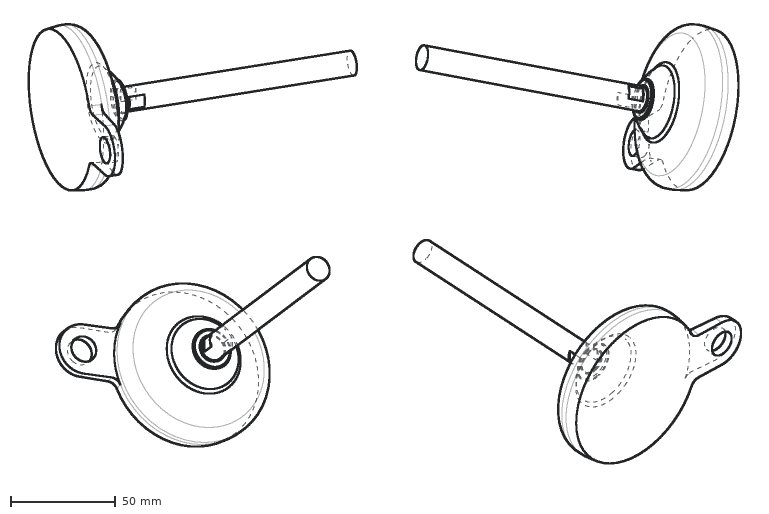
import cadquery as cq
import math

total_length = 151.5

floor_radius = 39.1
rim_radius = 40.0
rim_start = 6.2
rim_end = 9.2
shoulder_radius = 34.7
shoulder_height = 15.9
neck_radius = 19.5
neck_height = 21.7
seat_radius = 17.7
seat_height = 23.2

lug_radius = 12.5
lug_reach = 68.0
lug_hole_radius = 6.4
lug_root_x = 30.3
lug_root_fillet = 5.0
lug_slope_start_x = 41.4
lug_slope_start_height = 5.8
lug_tip_height = 4.1
lug_hole_x = lug_reach - lug_radius

dome_top_radius = 9.8
dome_top_height = 30.1
flange_radius = 10.0
flange_widest_height = 30.9
flange_top_radius = 9.2
flange_top_height = 31.4
collar_radius = 6.7
collar_top_height = 31.8
rod_radius = 6.0
flat_start = 33.6
flat_end = 41.5
flat_half_width = 5.2


def sphere_center_height(radius_a, height_a, radius_b, height_b):
    """Height of the on-axis center of the sphere through two circles about the axis."""
    difference = radius_a**2 + height_a**2 - radius_b**2 - height_b**2
    return difference / (2 * (height_a - height_b))


def make_lug():
    """Rounded tab whose upper face slopes down towards its tip."""
    slope = (lug_tip_height - lug_slope_start_height) / (lug_reach - lug_slope_start_x)
    root_height = lug_slope_start_height + slope * (lug_root_x - lug_slope_start_x)
    side = (
        cq.Workplane("XY")
        .workplane(offset=-lug_radius)
        .moveTo(lug_root_x, 0)
        .lineTo(lug_reach, 0)
        .lineTo(lug_reach, lug_tip_height)
        .lineTo(lug_root_x, root_height)
        .close()
        .extrude(2 * lug_radius)
    )
    outline = (
        cq.Workplane("XZ")
        .moveTo(lug_root_x, -lug_radius)
        .lineTo(lug_hole_x, -lug_radius)
        .threePointArc((lug_reach, 0), (lug_hole_x, lug_radius))
        .lineTo(lug_root_x, lug_radius)
        .close()
        .extrude(-rim_start)
    )
    return side.intersect(outline)


def make_foot():
    """Round foot with the lug blended into its drafted lower edge."""
    drop = shoulder_height - rim_end
    inset = rim_radius - shoulder_radius
    chord_angle = math.atan2(drop, inset)
    shoulder_arc_radius = math.hypot(drop, inset) / (2 * math.cos(chord_angle))
    arc_half_angle = math.pi / 2 - chord_angle
    arc_mid = (
        rim_radius - shoulder_arc_radius * (1 - math.cos(arc_half_angle)),
        rim_end + shoulder_arc_radius * math.sin(arc_half_angle),
    )
    disk = (
        cq.Workplane("XY")
        .lineTo(floor_radius, 0)
        .lineTo(rim_radius, rim_start)
        .lineTo(rim_radius, rim_end)
        .threePointArc(arc_mid, (shoulder_radius, shoulder_height))
        .lineTo(neck_radius, neck_height)
        .lineTo(seat_radius, seat_height)
        .lineTo(0, seat_height)
        .close()
        .revolve(360, (0, 0, 0), (0, 1, 0))
    )
    foot = disk.union(make_lug())

    root_x = math.sqrt(floor_radius**2 - lug_radius**2)
    for side in (-1, 1):
        corner = (root_x, lug_slope_start_height / 2, side * lug_radius)
        foot = foot.edges(cq.selectors.NearestToPointSelector(corner)).fillet(lug_root_fillet)

    lug_hole = cq.Workplane("XZ").center(lug_hole_x, 0).circle(lug_hole_radius).extrude(-rim_start)
    return foot.cut(lug_hole)


def make_stud():
    """Plain rod on a spherical dome, with a thin flange, a collar and two wrench flats."""
    center = sphere_center_height(seat_radius, seat_height, dome_top_radius, dome_top_height)
    dome_radius = math.hypot(seat_radius, seat_height - center)
    mid_radius = (seat_radius + dome_top_radius) / 2
    mid_height = center + math.sqrt(dome_radius**2 - mid_radius**2)
    stud = (
        cq.Workplane("XY")
        .moveTo(0, seat_height)
        .lineTo(seat_radius, seat_height)
        .threePointArc((mid_radius, mid_height), (dome_top_radius, dome_top_height))
        .lineTo(flange_radius, flange_widest_height)
        .lineTo(flange_top_radius, flange_top_height)
        .lineTo(collar_radius, flange_top_height)
        .lineTo(collar_radius, collar_top_height)
        .lineTo(rod_radius, collar_top_height)
        .lineTo(rod_radius, total_length)
        .lineTo(0, total_length)
        .close()
        .revolve(360, (0, 0, 0), (0, 1, 0))
    )
    flat_length = flat_end - flat_start
    for side in (-1, 1):
        flat_cut = cq.Workplane("XY").box(rod_radius, flat_length, 2 * rod_radius).translate(
            (side * (flat_half_width + rod_radius / 2), (flat_start + flat_end) / 2, 0)
        )
        stud = stud.cut(flat_cut)
    return stud


foot = make_foot()
stud = make_stud()
result = cq.Compound.makeCompound([foot.val(), stud.val()])